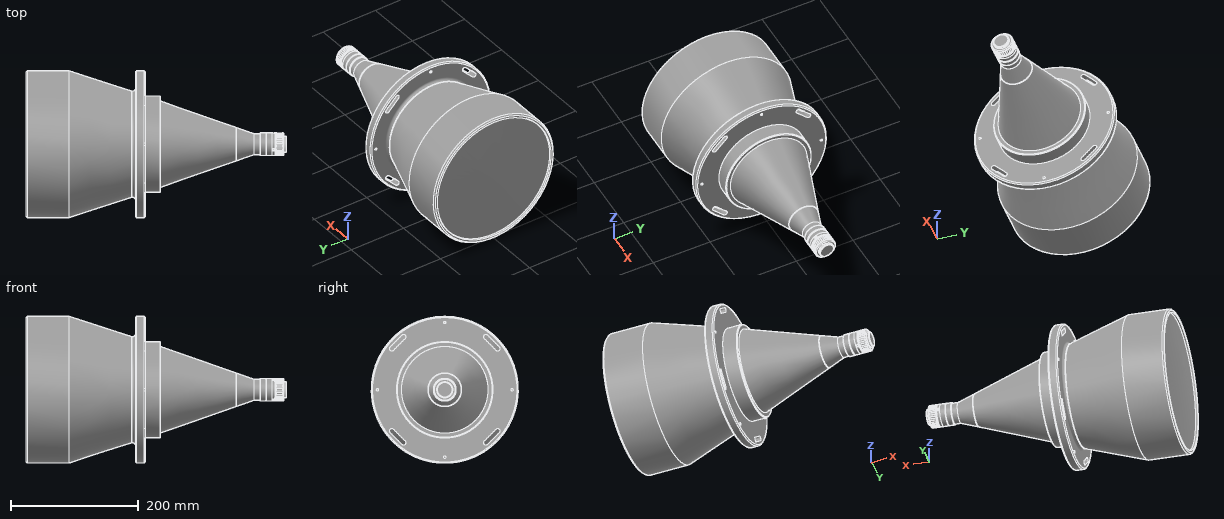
import cadquery as cq
import math

TOTAL_LENGTH = 408.0
MAX_RADIUS = 115.0

BARREL_CYLINDER_END = 67.7
BARREL_END = 165.5
BARREL_END_RADIUS = 83.2
BARREL_CHAMFER = 2.5

LENS_RADIUS = 109.0
LENS_RIM_X = 3.5
LENS_BACK_X = 20.5
LENS_SAG = 3.3

JOINT_GROOVE_DEPTH = 0.5
JOINT_GROOVE_WIDTH = 1.0
FLANGE_FRONT = 171.5
FLANGE_BACK = 187.0
FLANGE_CHAMFER = 2.0
FLANGE_FILLET = 4.0
HUB_RADIUS = 75.5
HUB_END = 211.0
HUB_CHAMFER = 1.2
CONE_START_RADIUS = 67.7
CONE_END = 328.8

SLOT_COUNT = 4
SLOT_CIRCLE_RADIUS = 104.0
SLOT_LENGTH = 33.5
SLOT_WIDTH = 7.5
PIN_HOLE_COUNT = 4
PIN_HOLE_CIRCLE_RADIUS = 105.2
PIN_HOLE_DIAMETER = 3.5

NECK_START = 356.5
NECK_RADIUS = 16.7
SLEEVE_START = 376.0
SLEEVE_RADIUS = 18.0
TAIL_END = 384.5

RING_START = 366.0
RING_CHAMFER = 1.0

GRIP_GROOVE_START = 389.5
GRIP_GROOVE_WIDTH = 1.2
GRIP_GROOVE_DEPTH = 1.0
MOUNT_END = 404.0
MOUNT_CHAMFER = 1.5
THREAD_RADIUS = 12.5
THREAD_CHAMFER = 1.2
KNURL_COUNT = 18
KNURL_START = 391.5
KNURL_END = 401.5
KNURL_WIDTH = 3.3
KNURL_DEPTH = 1.0
SET_SCREW_COUNT = 3
SET_SCREW_X = 387.0
SET_SCREW_DIAMETER = 4.0
SET_SCREW_DEPTH = 2.0

TAPER = (CONE_START_RADIUS - NECK_RADIUS) / (NECK_START - HUB_END)
CONE_END_RADIUS = CONE_START_RADIUS - TAPER * (CONE_END - HUB_END)


def revolve(outline):
    """Turn a closed outline, drawn as X and radius in the XZ plane, about the X axis."""
    return outline.close().revolve(360, (0, 0, 0), (1, 0, 0))


def turned(points):
    """Turn a straight-sided outline, given as (X, radius) points, about the X axis."""
    return revolve(cq.Workplane("XZ").polyline(points))


def make_lens():
    """Disc with a shallow convex front, sunk into the barrel."""
    mid_radius = LENS_RADIUS / 2
    sphere_radius = (LENS_RADIUS**2 + LENS_SAG**2) / (2 * LENS_SAG)
    mid_sag = sphere_radius - math.sqrt(sphere_radius**2 - mid_radius**2)
    apex_x = LENS_RIM_X - LENS_SAG
    outline = (
        cq.Workplane("XZ")
        .moveTo(apex_x, 0)
        .threePointArc((apex_x + mid_sag, mid_radius), (LENS_RIM_X, LENS_RADIUS))
        .lineTo(LENS_BACK_X, LENS_RADIUS)
        .lineTo(LENS_BACK_X, 0)
    )
    return revolve(outline)


def make_barrel():
    """Cylinder and taper, with the lens recess in its front."""
    return turned([
        (LENS_BACK_X, 0),
        (LENS_BACK_X, LENS_RADIUS),
        (0, LENS_RADIUS),
        (0, MAX_RADIUS - BARREL_CHAMFER),
        (BARREL_CHAMFER, MAX_RADIUS),
        (BARREL_CYLINDER_END, MAX_RADIUS),
        (BARREL_END, BARREL_END_RADIUS),
        (BARREL_END, 0),
    ])


def make_flange_cone():
    """Slotted flange, hub and rear cone in one piece."""
    fillet_start = FLANGE_FRONT - FLANGE_FILLET
    fillet_top = BARREL_END_RADIUS + FLANGE_FILLET
    fillet_mid = FLANGE_FILLET * math.sqrt(0.5)
    outline = (
        cq.Workplane("XZ")
        .moveTo(BARREL_END, 0)
        .lineTo(BARREL_END, BARREL_END_RADIUS - JOINT_GROOVE_DEPTH)
        .lineTo(BARREL_END + JOINT_GROOVE_WIDTH, BARREL_END_RADIUS)
        .lineTo(fillet_start, BARREL_END_RADIUS)
        .threePointArc((fillet_start + fillet_mid, fillet_top - fillet_mid), (FLANGE_FRONT, fillet_top))
        .lineTo(FLANGE_FRONT, MAX_RADIUS - FLANGE_CHAMFER)
        .lineTo(FLANGE_FRONT + FLANGE_CHAMFER, MAX_RADIUS)
        .lineTo(FLANGE_BACK - FLANGE_CHAMFER, MAX_RADIUS)
        .lineTo(FLANGE_BACK, MAX_RADIUS - FLANGE_CHAMFER)
        .lineTo(FLANGE_BACK, HUB_RADIUS)
        .lineTo(HUB_END - HUB_CHAMFER, HUB_RADIUS)
        .lineTo(HUB_END, HUB_RADIUS - HUB_CHAMFER)
        .lineTo(HUB_END, CONE_START_RADIUS)
        .lineTo(CONE_END, CONE_END_RADIUS)
        .lineTo(CONE_END, 0)
    )
    return revolve(outline).cut(flange_slots()).cut(flange_pin_holes())


def flange_plane():
    """Sketch plane on the front face of the flange."""
    return cq.Workplane("YZ", origin=(FLANGE_FRONT, 0, 0))


def flange_slots():
    """Tangential slots through the flange, midway between the Y and Z axes."""
    return (
        flange_plane()
        .polarArray(SLOT_CIRCLE_RADIUS, 180 / SLOT_COUNT, 360, SLOT_COUNT)
        .slot2D(SLOT_LENGTH, SLOT_WIDTH, 90)
        .extrude(FLANGE_BACK - FLANGE_FRONT)
    )


def flange_pin_holes():
    """Small holes through the flange, on the Y and Z axes."""
    return (
        flange_plane()
        .polarArray(PIN_HOLE_CIRCLE_RADIUS, 0, 360, PIN_HOLE_COUNT)
        .circle(PIN_HOLE_DIAMETER / 2)
        .extrude(FLANGE_BACK - FLANGE_FRONT)
    )


def make_tail():
    """End of the taper, then the neck and a sleeve behind the lock ring."""
    groove_end = CONE_END + JOINT_GROOVE_WIDTH
    return turned([
        (CONE_END, 0),
        (CONE_END, CONE_END_RADIUS - JOINT_GROOVE_DEPTH - TAPER * JOINT_GROOVE_WIDTH),
        (groove_end, CONE_END_RADIUS - TAPER * JOINT_GROOVE_WIDTH),
        (NECK_START, NECK_RADIUS),
        (SLEEVE_START, NECK_RADIUS),
        (SLEEVE_START, SLEEVE_RADIUS),
        (TAIL_END, SLEEVE_RADIUS),
        (TAIL_END, 0),
    ])


def make_lock_ring():
    """Plain ring on the neck, chamfered on both sides."""
    return turned([
        (RING_START, NECK_RADIUS),
        (RING_START, SLEEVE_RADIUS - RING_CHAMFER),
        (RING_START + RING_CHAMFER, SLEEVE_RADIUS),
        (SLEEVE_START - RING_CHAMFER, SLEEVE_RADIUS),
        (SLEEVE_START, SLEEVE_RADIUS - RING_CHAMFER),
        (SLEEVE_START, NECK_RADIUS),
    ])


def make_camera_mount():
    """Grip with knurling and set screw holes, ending in the camera thread."""
    groove_end = GRIP_GROOVE_START + GRIP_GROOVE_WIDTH
    groove_radius = SLEEVE_RADIUS - GRIP_GROOVE_DEPTH
    mount = turned([
        (TAIL_END, 0),
        (TAIL_END, SLEEVE_RADIUS),
        (GRIP_GROOVE_START, SLEEVE_RADIUS),
        (GRIP_GROOVE_START, groove_radius),
        (groove_end, groove_radius),
        (groove_end, SLEEVE_RADIUS),
        (MOUNT_END - MOUNT_CHAMFER, SLEEVE_RADIUS),
        (MOUNT_END, SLEEVE_RADIUS - MOUNT_CHAMFER),
        (MOUNT_END, THREAD_RADIUS),
        (TOTAL_LENGTH - THREAD_CHAMFER, THREAD_RADIUS),
        (TOTAL_LENGTH, THREAD_RADIUS - THREAD_CHAMFER),
        (TOTAL_LENGTH, 0),
    ])
    return mount.cut(knurl_grooves()).cut(set_screw_holes())


def knurl_grooves():
    """Axial grooves evenly spaced around the grip."""
    return (
        cq.Workplane("YZ", origin=(KNURL_START, 0, 0))
        .polarArray(SLEEVE_RADIUS, 0, 360, KNURL_COUNT)
        .rect(2 * KNURL_DEPTH, KNURL_WIDTH)
        .extrude(KNURL_END - KNURL_START)
    )


def set_screw_holes():
    """Blind radial holes, evenly spaced, the first one pointing along +Y."""
    holes = cq.Workplane("XY")
    hole = cq.Solid.makeCylinder(
        SET_SCREW_DIAMETER / 2,
        SET_SCREW_DEPTH,
        cq.Vector(SET_SCREW_X, SLEEVE_RADIUS, 0),
        cq.Vector(0, -1, 0),
    )
    for index in range(SET_SCREW_COUNT):
        holes = holes.add(hole.rotate((0, 0, 0), (1, 0, 0), index * 360 / SET_SCREW_COUNT))
    return holes.combine()


lens = make_lens()
barrel = make_barrel()
flange_cone = make_flange_cone()
tail = make_tail()
lock_ring = make_lock_ring()
camera_mount = make_camera_mount()

result = cq.Compound.makeCompound([
    lens.val(),
    barrel.val(),
    flange_cone.solids().val(),
    tail.val(),
    lock_ring.val(),
    camera_mount.solids().val(),
])